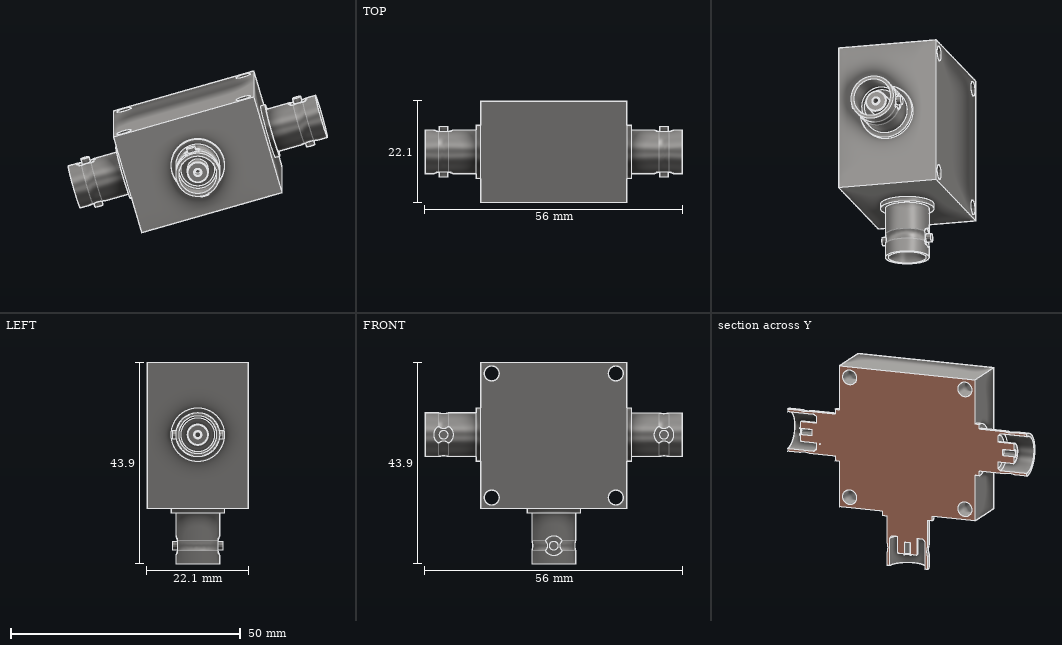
import cadquery as cq

body_side = 31.8
body_depth = 22.05
mount_hole_diameter = 3.2
mount_hole_pitch = 27.0

connector_length = 12.1
side_connector_z = 0.15
flange_diameter = 11.65
flange_thickness = 1.0
barrel_diameter = 9.6
bore_diameter = 8.25
seat_diameter = 7.35
bore_depth = 6.7
seat_depth = 0.55
insulator_diameter = 4.6
insulator_chamfer = 0.15
insulator_recess = 2.95
contact_diameter = 1.8
contact_chamfer = 0.1
contact_recess = 2.8
contact_hole_diameter = 1.3
contact_hole_depth = 2.8

lug_diameter = 1.9
lug_tip_span = 11.05
lug_from_rim = 4.05
flat_diameter = 4.25
flat_span = 8.85
groove_width = 2.2
groove_depth = 0.15

barrel_radius = barrel_diameter / 2
socket_floor = connector_length - bore_depth
lug_root_span = (bore_diameter + flat_span) / 2
lug_height = connector_length - lug_from_rim


def cylinder(diameter, start, end):
    """Solid cylinder on the Z axis between two heights."""
    return cq.Workplane("XY").workplane(offset=start).circle(diameter / 2).extrude(end - start)


def cross_cylinders(diameter, inner_span, outer_span):
    """Pair of cylinders along Y at lug height, one on each side of the barrel."""
    one = cylinder(diameter, inner_span / 2, outer_span / 2)
    front = one.rotate((0, 0, 0), (1, 0, 0), 90)
    pair = front.union(front.mirror("XZ"))
    return pair.translate((0, 0, lug_height))


def ring_groove():
    """Ring whose inner side is a shallow arc, deepest at lug height."""
    low = lug_height - groove_width / 2
    high = lug_height + groove_width / 2
    return (
        cq.Workplane("XZ")
        .moveTo(lug_tip_span / 2, low)
        .lineTo(barrel_radius, low)
        .threePointArc((barrel_radius - groove_depth, lug_height), (barrel_radius, high))
        .lineTo(lug_tip_span / 2, high)
        .close()
        .revolve(360, (0, 0, 0), (0, 1, 0))
    )


def socket():
    """Bore that narrows in a cone to its floor."""
    return (
        cq.Workplane("XZ")
        .moveTo(0, socket_floor)
        .lineTo(seat_diameter / 2, socket_floor)
        .lineTo(bore_diameter / 2, socket_floor + seat_depth)
        .lineTo(bore_diameter / 2, connector_length)
        .lineTo(0, connector_length)
        .close()
        .revolve(360, (0, 0, 0), (0, 1, 0))
    )


def chamfered_rod(diameter, start, end, chamfer):
    """Rod on the Z axis with its upper rim chamfered."""
    return cylinder(diameter, start, end).faces(">Z").chamfer(chamfer)


def centre_contact():
    """Insulator and hollow centre contact standing on the floor of the socket."""
    insulator_end = connector_length - insulator_recess
    contact_end = connector_length - contact_recess
    insulator = chamfered_rod(insulator_diameter, socket_floor, insulator_end, insulator_chamfer)
    contact = chamfered_rod(contact_diameter, socket_floor, contact_end, contact_chamfer)
    contact_hole = cylinder(contact_hole_diameter, contact_end - contact_hole_depth, contact_end)
    return insulator.union(contact).cut(contact_hole)


def make_connector():
    """Connector standing on the XY plane and pointing along +Z."""
    connector = cylinder(flange_diameter, 0, flange_thickness)
    connector = connector.union(cylinder(barrel_diameter, 0, connector_length))
    connector = connector.cut(ring_groove())
    connector = connector.cut(cross_cylinders(flat_diameter, flat_span, lug_tip_span))
    connector = connector.union(cross_cylinders(lug_diameter, lug_root_span, lug_tip_span))
    connector = connector.cut(socket())
    return connector.union(centre_contact())


def make_body():
    """Housing block with a through hole near each corner."""
    return (
        cq.Workplane("XZ")
        .rect(body_side, body_side)
        .extrude(body_depth / 2, both=True)
        .faces("<Y")
        .workplane(origin=(0, 0, 0))
        .rect(mount_hole_pitch, mount_hole_pitch, forConstruction=True)
        .vertices()
        .hole(mount_hole_diameter)
    )


connector = make_connector()
lower = connector.rotate((0, 0, 0), (1, 0, 0), 180)
result = make_body().union(lower.translate((0, 0, -body_side / 2)))
for side in (-1, 1):
    turned = connector.rotate((0, 0, 0), (0, 1, 0), side * 90)
    result = result.union(turned.translate((side * body_side / 2, 0, side_connector_z)))